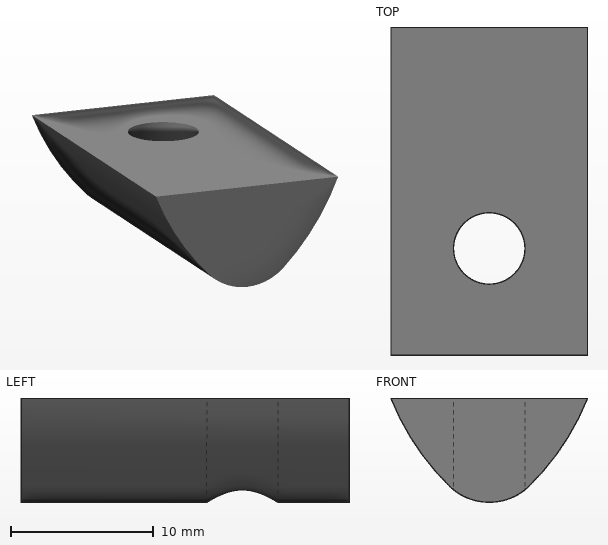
import cadquery as cq

width = 13.8
length = 23.0
height = 7.3

flank_half_width = 5.77
flank_depth = 2.32

keel_half_width = 2.7
keel_top_depth = 6.25

hole_diameter = 5.0
hole_from_front = 7.5


def make_body():
    """Extrude the keel-shaped section along the full length."""
    return (
        cq.Workplane("XZ", origin=(0, length / 2, 0))
        .moveTo(width / 2, 0)
        .threePointArc((flank_half_width, -flank_depth), (keel_half_width, -keel_top_depth))
        .threePointArc((0, -height), (-keel_half_width, -keel_top_depth))
        .threePointArc((-flank_half_width, -flank_depth), (-width / 2, 0))
        .close()
        .extrude(length)
    )


def make_hole():
    """Cylinder that passes through the full height."""
    return (
        cq.Workplane("XY", origin=(0, hole_from_front - length / 2, -height))
        .circle(hole_diameter / 2)
        .extrude(height)
    )


result = make_body().cut(make_hole())